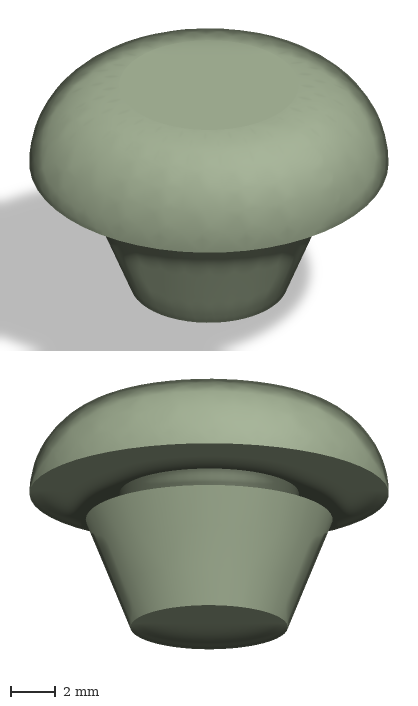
import cadquery as cq
import math

head_diameter = 16.0
head_height = 4.0
neck_diameter = 8.0
neck_height = 1.2
plug_top_diameter = 11.0
plug_tip_diameter = 7.0
plug_height = 5.0

head_radius = head_diameter / 2
neck_radius = neck_diameter / 2
plug_top_radius = plug_top_diameter / 2
plug_tip_radius = plug_tip_diameter / 2

neck_bottom = plug_height
head_bottom = neck_bottom + neck_height
head_top = head_bottom + head_height

edge_radius = head_height
flat_radius = head_radius - edge_radius
edge_middle_offset = edge_radius * math.sqrt(0.5)
edge_middle = (flat_radius + edge_middle_offset, head_bottom + edge_middle_offset)

half_section = (
    cq.Workplane("XZ")
    .lineTo(plug_tip_radius, 0)
    .lineTo(plug_top_radius, neck_bottom)
    .lineTo(neck_radius, neck_bottom)
    .lineTo(neck_radius, head_bottom)
    .lineTo(head_radius, head_bottom)
    .threePointArc(edge_middle, (flat_radius, head_top))
    .lineTo(0, head_top)
    .close()
)

result = half_section.revolve(360, (0, 0, 0), (0, 1, 0))